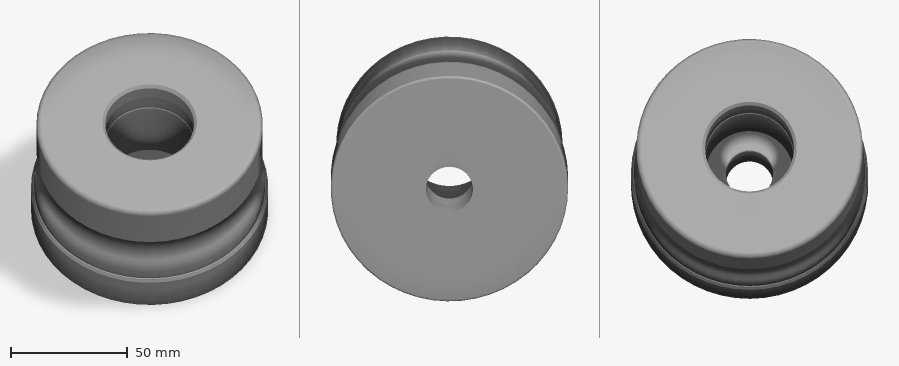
import cadquery as cq
import math

base_radius = 50.8
base_height = 18.1
wall_top_z = 16.7
chamfer_top_radius = 50.2
chamfer_top_z = 17.7
base_top_radius = 50.0
base_bottom_fillet = 1.0
hole_radius = 10.1
hole_chamfer = 0.3

total_height = 63.5
rim_radius = 48.5
rim_fillet = 2.0
rim_bottom_z = 42.9
neck_radius = 45.6
neck_z = 35.3
flank_angle = math.radians(30)
flank_height = 1.7
skirt_radius = 49.5

bore_radius = 19.0
bore_chamfer = 1.2
upper_bore_depth = 7.8
seat_bore_radius = 19.2
lip_depth = 15.2
lip_height = 0.3
lower_bore_radius = 18.9


def make_base():
    """Disc with a stepped top bevel, a rounded bottom edge and a chamfered centre hole."""
    fillet_mid_offset = base_bottom_fillet * (1 - math.sqrt(0.5))
    profile = (
        cq.Workplane("XZ")
        .moveTo(hole_radius, 0)
        .lineTo(base_radius - base_bottom_fillet, 0)
        .threePointArc(
            (base_radius - fillet_mid_offset, fillet_mid_offset),
            (base_radius, base_bottom_fillet),
        )
        .lineTo(base_radius, wall_top_z)
        .lineTo(chamfer_top_radius, chamfer_top_z)
        .lineTo(base_top_radius, base_height)
        .lineTo(hole_radius + hole_chamfer, base_height)
        .lineTo(hole_radius, base_height - hole_chamfer)
        .close()
    )
    return profile.revolve(360, (0, 0, 0), (0, 1, 0))


def make_roller():
    """Ring with a rounded neck groove and an undercut bore."""
    neck_half_height = rim_bottom_z - neck_z
    neck_depth = rim_radius - neck_radius
    neck_arc_radius = (neck_half_height**2 + neck_depth**2) / (2 * neck_depth)

    flank_top_radius = neck_radius + neck_arc_radius * (1 - math.cos(flank_angle))
    flank_top_z = neck_z - neck_arc_radius * math.sin(flank_angle)
    flank_bottom_radius = flank_top_radius + flank_height * math.tan(flank_angle)
    flank_bottom_z = flank_top_z - flank_height

    shoulder_arc_radius = (skirt_radius - flank_bottom_radius) / (1 - math.cos(flank_angle))
    skirt_top_z = flank_bottom_z - shoulder_arc_radius * math.sin(flank_angle)
    shoulder_mid_radius = skirt_radius - shoulder_arc_radius * (1 - math.cos(flank_angle / 2))
    shoulder_mid_z = skirt_top_z + shoulder_arc_radius * math.sin(flank_angle / 2)

    fillet_mid_offset = rim_fillet * (1 - math.sqrt(0.5))
    profile = (
        cq.Workplane("XZ")
        .moveTo(lower_bore_radius, base_height)
        .lineTo(skirt_radius, base_height)
        .lineTo(skirt_radius, skirt_top_z)
        .threePointArc((shoulder_mid_radius, shoulder_mid_z), (flank_bottom_radius, flank_bottom_z))
        .lineTo(flank_top_radius, flank_top_z)
        .threePointArc((neck_radius, neck_z), (rim_radius, rim_bottom_z))
        .lineTo(rim_radius, total_height - rim_fillet)
        .threePointArc(
            (rim_radius - fillet_mid_offset, total_height - fillet_mid_offset),
            (rim_radius - rim_fillet, total_height),
        )
        .lineTo(bore_radius + bore_chamfer, total_height)
        .lineTo(bore_radius, total_height - bore_chamfer)
        .lineTo(bore_radius, total_height - upper_bore_depth)
        .lineTo(seat_bore_radius, total_height - upper_bore_depth)
        .lineTo(seat_bore_radius, total_height - lip_depth)
        .lineTo(lower_bore_radius, total_height - lip_depth - lip_height)
        .close()
    )
    return profile.revolve(360, (0, 0, 0), (0, 1, 0))


base = make_base()
roller = make_roller()

result = cq.Compound.makeCompound([base.val(), roller.val()])